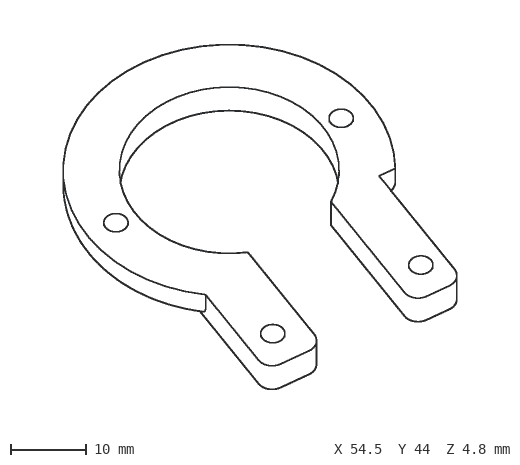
import cadquery as cq

length = 54.45
thickness = 4.8
outer_radius = 22.0
inner_radius = 14.55
bottom_fillet = 2.0
hole_diameter = 3.2

arm_end_x = length - outer_radius
arm_corner_radius = 2.1
arm_hole_x = 27.4
upper_arm_y = (8.6, 16.4)
lower_arm_y = (-14.05, -5.4)
upper_arm_hole_y = 12.95
lower_arm_hole_y = -10.0

upper_ring_hole_y = 17.35
lower_ring_hole_y = -17.6
step_x = 11.2


def box_between(x_range, y_range):
    """Full-thickness block spanning the given X and Y ranges."""
    x_min, x_max = x_range
    y_min, y_max = y_range
    return cq.Workplane("XY").box(
        x_max - x_min, y_max - y_min, thickness, centered=False
    ).translate((x_min, y_min, 0))


def make_arm(y_range):
    """Arm starting inside the ring, with rounded corners at its free end."""
    arm = box_between((0, arm_end_x), y_range)
    return arm.edges("|Z and >X").fillet(arm_corner_radius)


disc = cq.Workplane("XY").circle(outer_radius).extrude(thickness)
disc = disc.faces("<Z").edges().fillet(bottom_fillet)

gap = box_between((0, arm_end_x), (lower_arm_y[1], upper_arm_y[0]))
step = box_between((step_x, outer_radius), (upper_arm_y[1], outer_radius))
body = disc.cut(gap).cut(step)

body = body.union(make_arm(upper_arm_y)).union(make_arm(lower_arm_y))
bore = cq.Workplane("XY").circle(inner_radius).extrude(thickness)
body = body.cut(bore)

hole_centres = [
    (0, upper_ring_hole_y),
    (0, lower_ring_hole_y),
    (arm_hole_x, upper_arm_hole_y),
    (arm_hole_x, lower_arm_hole_y),
]
holes = cq.Workplane("XY").pushPoints(hole_centres).circle(hole_diameter / 2).extrude(thickness)
result = body.cut(holes)